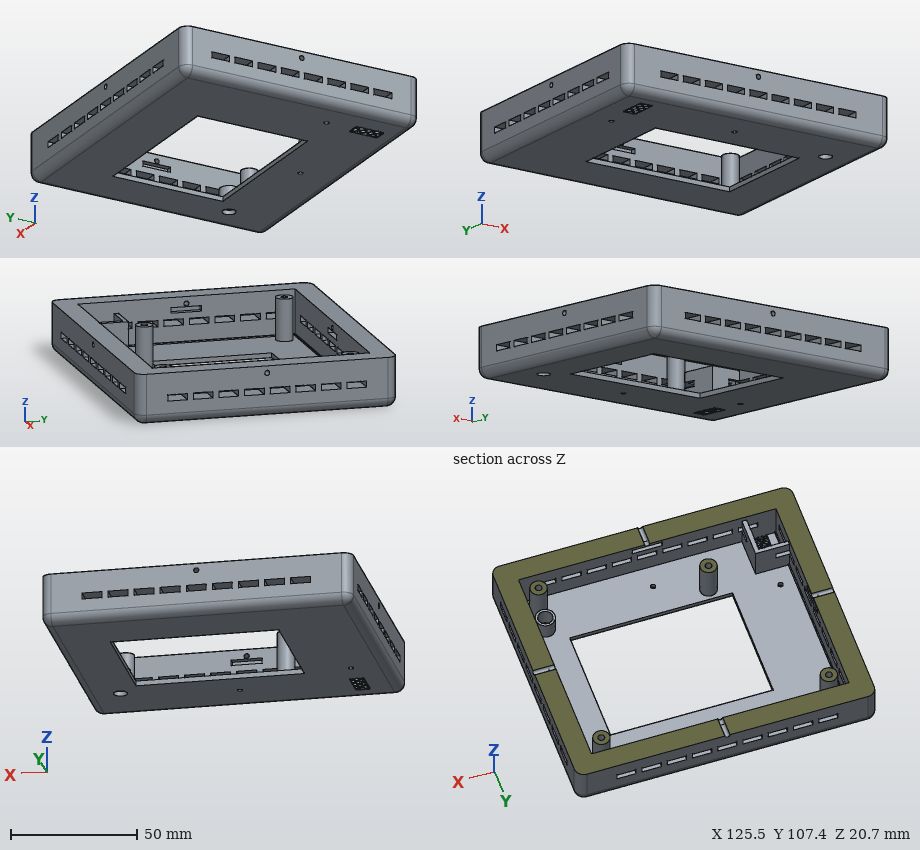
import cadquery as cq

length = 125.5
width = 107.4
height = 20.7
outer_radius = 4.0
wall = 9.0
floor = 2.0
cavity_length = length - 2 * wall
cavity_width = width - 2 * wall
inner_x = cavity_length / 2
inner_y = cavity_width / 2

ledge_width = 0.5
ledge_height = 0.5

window_length = 68.0
window_width = 50.0
window_x = 6.0
window_y = 2.8

slot_length = 8.0
slot_height = 2.5
slot_pitch = 10.5
slot_z = 10.4
slot_depth = 14.5
slots_along_x = 9
slots_along_y = 8

pin_diameter = 2.0
pin_z = 17.8
latch_length = 12.5
latch_height = 2.3
latch_z = 15.4
latch_depth = 2.5

post_diameter = 7.0
post_bore = 2.5
post_top = 19.3
post_bore_depth = 10.0
corner_post_x = 47.5
corner_post_y = 38.5
middle_post_x = -19.6
middle_post_y = -27.1
post_centres = [
    (-corner_post_x, corner_post_y),
    (corner_post_x, corner_post_y),
    (corner_post_x, -corner_post_y),
    (middle_post_x, middle_post_y),
]

tube_centre = [(47.8, -29.5)]
tube_diameter = 8.0
tube_bore = 6.0
tube_top = 9.7
button_hole = 5.5

floor_hole_diameter = 2.0
floor_hole_centres = [(-47.3, -20.0), (0.8, -35.4)]

sensor_x_end = -39.5
sensor_y_end = -28.0
sensor_side_wall = 2.0
sensor_end_wall = 1.8
sensor_top = 15.8
grille_length = 5.8
grille_x = -47.0
grille_y_end = -32.0
grille_bar = 0.5
grille_bar_pitch = 3.5
grille_first_crossing_y = -34.9
grille_crossings = range(-2, 5)


def box(x_min, x_max, y_min, y_max, z_min, z_max):
    return (
        cq.Workplane("XY")
        .box(x_max - x_min, y_max - y_min, z_max - z_min, centered=False)
        .translate((x_min, y_min, z_min))
    )


def cylinders(centres, diameter, z_min, z_max):
    return (
        cq.Workplane("XY", origin=(0, 0, z_min))
        .pushPoints(centres)
        .circle(diameter / 2)
        .extrude(z_max - z_min)
    )


def shell():
    body = cq.Workplane("XY").box(length, width, height, centered=(True, True, False))
    body = body.edges("|Z or <Z").fillet(outer_radius)
    ledge_top = floor + ledge_height
    body = body.cut(box(-inner_x, inner_x, -inner_y, inner_y, ledge_top, height))
    return body.cut(
        box(
            ledge_width - inner_x,
            inner_x - ledge_width,
            -inner_y,
            inner_y - ledge_width,
            floor,
            ledge_top,
        )
    )


def wall_cutters(outer_y, inner_wall_y, slot_count):
    """Openings for a wall facing -Y whose outer face lies at Y = -outer_y."""
    cutter = (
        cq.Workplane("XY", origin=(0, slot_depth / 2 - outer_y, slot_z))
        .rarray(slot_pitch, 1.3, slot_count, 1)
        .box(slot_length, slot_depth, slot_height)
    )
    pin = (
        cq.Workplane("XZ", origin=(0, -outer_y, pin_z))
        .circle(pin_diameter / 2)
        .extrude(-wall)
    )
    latch = cq.Workplane("XY", origin=(0, -inner_wall_y - latch_depth / 2, latch_z)).box(
        latch_length, latch_depth, latch_height
    )
    return cutter.union(pin).union(latch)


def display_window():
    return (
        cq.Workplane("XY")
        .box(window_length, window_width, floor, centered=(True, True, False))
        .translate((window_x, window_y, 0))
    )


def grille_opening():
    """Grille opening in the floor with its diagonal lattice left standing."""
    opening = box(
        grille_x - grille_length / 2,
        grille_x + grille_length / 2,
        -inner_y,
        grille_y_end,
        0,
        floor,
    )
    for index in grille_crossings:
        crossing_y = grille_first_crossing_y - index * grille_bar_pitch
        for angle in (45, -45):
            bar = (
                cq.Workplane("XY")
                .box(3 * grille_length, grille_bar, floor, centered=(True, True, False))
                .rotate((0, 0, 0), (0, 0, 1), angle)
                .translate((grille_x, crossing_y, 0))
            )
            opening = opening.cut(bar)
    return opening


def sensor_walls():
    outer = box(-inner_x, sensor_x_end, -inner_y, sensor_y_end, floor, sensor_top)
    inner = box(
        -inner_x,
        sensor_x_end - sensor_side_wall,
        -inner_y,
        sensor_y_end - sensor_end_wall,
        floor,
        sensor_top,
    )
    return outer.cut(inner)


result = shell().union(sensor_walls())

long_wall = wall_cutters(width / 2, inner_y, slots_along_x)
short_wall = wall_cutters(length / 2, inner_x, slots_along_y)
for cutters, angle in ((long_wall, 0), (short_wall, 90), (long_wall, 180), (short_wall, 270)):
    result = result.cut(cutters.rotate((0, 0, 0), (0, 0, 1), angle))

result = result.union(cylinders(post_centres, post_diameter, floor, post_top))
result = result.cut(cylinders(post_centres, post_bore, post_top - post_bore_depth, post_top))
result = result.union(cylinders(tube_centre, tube_diameter, floor, tube_top))
result = result.cut(cylinders(tube_centre, tube_bore, floor, tube_top))

result = result.cut(cylinders(tube_centre, button_hole, 0, floor))
result = result.cut(cylinders(floor_hole_centres, floor_hole_diameter, 0, floor))
result = result.cut(display_window())
result = result.cut(grille_opening())